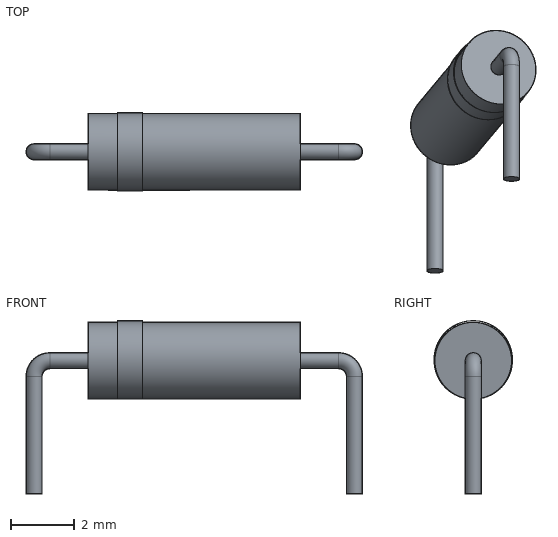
import cadquery as cq

body_diameter = 2.44
body_length = 6.73

band_diameter = 2.488
band_width = 0.8
band_offset = 0.93

lead_diameter = 0.51
lead_pitch = 10.15
lead_embed = 1.5
bend_radius = 0.5

underside_height = 3.0
body_axis_height = underside_height + body_diameter / 2
band_axis_height = underside_height + band_diameter / 2

body_start = -body_length / 2


def x_cylinder(diameter, axis_height, x_start, length):
    """Cylinder along X at the given axis height, running towards +X from x_start."""
    return (
        cq.Workplane("YZ", origin=(x_start, 0, axis_height))
        .circle(diameter / 2)
        .extrude(length)
    )


def make_lead(side):
    """Lead from its tip, up and around the bend, into the body; side is -1 for -X, +1 for +X."""
    tip_x = side * lead_pitch / 2
    inner_x = side * (body_length / 2 - lead_embed)
    bend_start_height = body_axis_height - bend_radius
    bend_end = (tip_x - side * bend_radius, body_axis_height)
    path = (
        cq.Workplane("XZ")
        .moveTo(tip_x, 0)
        .lineTo(tip_x, bend_start_height)
        .tangentArcPoint(bend_end, relative=False)
        .lineTo(inner_x, body_axis_height)
    )
    return (
        cq.Workplane("XY", origin=(tip_x, 0, 0))
        .circle(lead_diameter / 2)
        .sweep(path)
    )


body = x_cylinder(body_diameter, body_axis_height, body_start, body_length)
band = x_cylinder(band_diameter, band_axis_height, body_start + band_offset, band_width)

result = body.union(band)
for side in (-1, 1):
    result = result.union(make_lead(side))